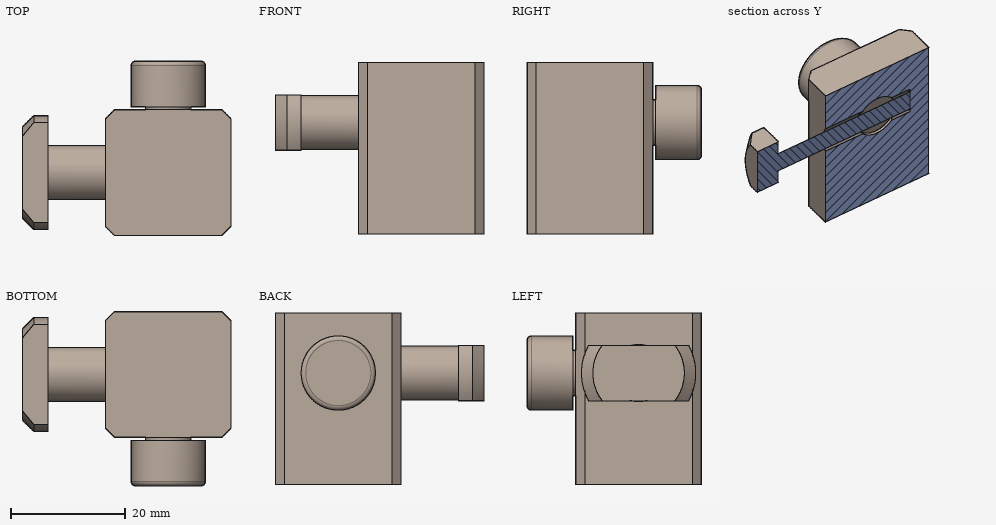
import cadquery as cq

BLOCK_WIDTH = 22.0
BLOCK_HEIGHT = 30.0
BLOCK_CHAMFER = 1.6
FACE = BLOCK_WIDTH / 2
AXIS_HEIGHT = BLOCK_HEIGHT - 10.5

SHANK_DIAMETER = 9.5
SHANK_EXPOSED = 10.0
BORE_DIAMETER = 10.0
BORE_DEPTH = 18.0
ANCHOR_HEAD_DIAMETER = 20.0
ANCHOR_HEAD_THICKNESS = 4.5
ANCHOR_HEAD_HEIGHT = 9.7
ANCHOR_HEAD_CHAMFER = 2.0

SCREW_DIAMETER = 8.0
SCREW_HEAD_DIAMETER = 13.0
SCREW_HEAD_LENGTH = 8.0
SCREW_HEAD_FILLET = 0.8
SCREW_HEAD_GAP = 0.51


def cylinder_along_x(diameter, start, length):
    """Cylinder on the anchor axis, running from X = start towards +X."""
    plane = cq.Workplane("YZ", origin=(start, 0, AXIS_HEIGHT))
    return plane.circle(diameter / 2).extrude(length)


def cylinder_along_y(diameter, start, length):
    """Cylinder on the screw axis, running from Y = start towards +Y."""
    plane = cq.Workplane("XZ", origin=(0, start, AXIS_HEIGHT))
    return plane.circle(diameter / 2).extrude(-length)


def make_block():
    """Chamfered block with a blind anchor bore met by the screw hole."""
    block = (
        cq.Workplane("XY")
        .rect(BLOCK_WIDTH, BLOCK_WIDTH)
        .extrude(BLOCK_HEIGHT)
        .edges("|Z")
        .chamfer(BLOCK_CHAMFER)
    )
    anchor_bore = cylinder_along_x(BORE_DIAMETER, -FACE, BORE_DEPTH)
    screw_hole = cylinder_along_y(SCREW_DIAMETER, 0, FACE)
    return block.cut(anchor_bore).cut(screw_hole)


def make_anchor():
    """Round shank with a chamfered disc head flattened above and below."""
    head_start = -FACE - SHANK_EXPOSED - ANCHOR_HEAD_THICKNESS
    disc = (
        cylinder_along_x(ANCHOR_HEAD_DIAMETER, head_start, ANCHOR_HEAD_THICKNESS)
        .faces("<X")
        .chamfer(ANCHOR_HEAD_CHAMFER)
    )
    flats = (
        cq.Workplane("YZ", origin=(head_start, 0, AXIS_HEIGHT))
        .rect(ANCHOR_HEAD_DIAMETER, ANCHOR_HEAD_HEIGHT)
        .extrude(ANCHOR_HEAD_THICKNESS)
    )
    head = disc.intersect(flats)
    shank = cylinder_along_x(SHANK_DIAMETER, -FACE - SHANK_EXPOSED, SHANK_EXPOSED + BORE_DEPTH)
    return head.union(shank)


def make_screw():
    """Cap screw whose flat tip touches the +Y side of the anchor shank."""
    tip = SHANK_DIAMETER / 2
    head_start = FACE + SCREW_HEAD_GAP
    head = (
        cylinder_along_y(SCREW_HEAD_DIAMETER, head_start, SCREW_HEAD_LENGTH)
        .faces(">Y")
        .edges()
        .fillet(SCREW_HEAD_FILLET)
    )
    stem = cylinder_along_y(SCREW_DIAMETER, tip, head_start - tip)
    return head.union(stem)


block = make_block()
anchor = make_anchor()
screw = make_screw()

result = cq.Compound.makeCompound([block.val(), anchor.val(), screw.val()])